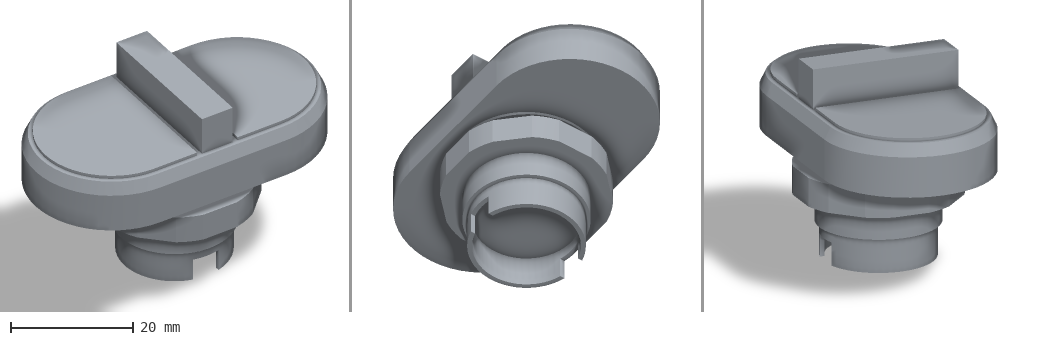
import cadquery as cq
import math

head_length = 54.0
head_width = 29.5
head_bottom_z = 18.5
chamfer_bottom_z = 25.5
head_top_z = 27.6
chamfer_inset = 1.0

button_inset = 1.85
button_top_z = 28.2
button_gap = 7.95
bar_thickness = 6.0
bar_top_z = 34.5

stem_diameter = 21.0
stem_bottom_z = 6.0
skirt_diameter = 19.45
skirt_wall = 0.8
slot_width = 5.0
slot_height = 4.0

gasket_diameter = 25.0
gasket_bottom_z = 18.0

nut_across_flats = 27.65
nut_corner_diameter = 28.4
nut_bottom_z = 11.0
nut_top_z = 16.0
nut_sides = 8

button_length = head_length - 2 * button_inset
button_width = head_width - 2 * button_inset


def cylinder(diameter, bottom_z, top_z):
    return cq.Workplane("XY").workplane(offset=bottom_z).circle(diameter / 2).extrude(top_z - bottom_z)


def stadium(length, width, bottom_z, top_z):
    return (
        cq.Workplane("XY")
        .workplane(offset=bottom_z)
        .slot2D(length, width, 90)
        .extrude(top_z - bottom_z)
    )


def centred_box(size_x, size_y, bottom_z, top_z):
    return (
        cq.Workplane("XY")
        .workplane(offset=bottom_z)
        .rect(size_x, size_y)
        .extrude(top_z - bottom_z)
    )


def make_head():
    """Straight-sided plate topped by a tapered rim."""
    plate = stadium(head_length, head_width, head_bottom_z, chamfer_bottom_z)
    chamfer_height = head_top_z - chamfer_bottom_z
    chamfer_angle = math.degrees(math.atan2(chamfer_inset, chamfer_height))
    rim = (
        cq.Workplane("XY")
        .workplane(offset=chamfer_bottom_z)
        .slot2D(head_length, head_width, 90)
        .extrude(chamfer_height, taper=chamfer_angle)
    )
    return plate.union(rim)


def make_buttons():
    pad = stadium(button_length, button_width, head_top_z, button_top_z)
    return pad.cut(centred_box(head_width, button_gap, head_top_z, button_top_z))


def make_skirt():
    """Hollow lower end of the stem, slotted through along X."""
    skirt = cylinder(skirt_diameter, 0, stem_bottom_z)
    bore = cylinder(skirt_diameter - 2 * skirt_wall, 0, stem_bottom_z)
    slot = centred_box(skirt_diameter, slot_width, 0, slot_height)
    return skirt.cut(bore).cut(slot)


def make_operator():
    bar = centred_box(button_width, bar_thickness, head_top_z, bar_top_z)
    stem = cylinder(stem_diameter, stem_bottom_z, head_bottom_z)
    return make_head().union(make_buttons()).union(bar).union(stem).union(make_skirt())


def make_gasket():
    ring = cylinder(gasket_diameter, gasket_bottom_z, head_bottom_z)
    return ring.cut(cylinder(stem_diameter, gasket_bottom_z, head_bottom_z))


def make_nut():
    """Octagon with flats facing X and Y, its corners turned down to a cylinder."""
    octagon = (
        cq.Workplane("XY")
        .workplane(offset=nut_bottom_z)
        .polygon(nut_sides, nut_across_flats, circumscribed=True)
        .extrude(nut_top_z - nut_bottom_z)
    )
    nut = octagon.intersect(cylinder(nut_corner_diameter, nut_bottom_z, nut_top_z))
    return nut.cut(cylinder(stem_diameter, nut_bottom_z, nut_top_z))


operator = make_operator()
gasket = make_gasket()
nut = make_nut()

result = cq.Compound.makeCompound([operator.val(), gasket.val(), nut.val()])